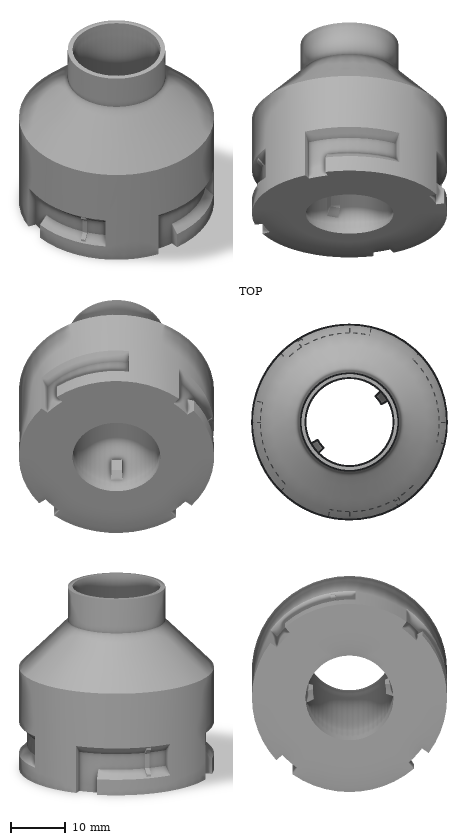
import cadquery as cq
import math

body_radius = 18.0
body_height = 19.5
neck_radius = 9.0
bore_radius = 8.1
total_height = 35.0
cone_height = body_radius - neck_radius
neck_base = body_height + cone_height

slot_count = 4
slot_pitch = 360 / slot_count
slot_depth = 1.5
slot_floor_radius = body_radius - slot_depth
slot_bottom = 3.0
slot_top = 9.0
entry_start = -12.8
slot_end = 45.0

rib_angle = 31.3
rib_width = 0.85
rib_height = 0.3
rib_outer_radius = 17.75

tab_angle = 37.0
tab_sweep = 16.0
tab_tip_radius = 6.75

wall_overlap = 0.35
cut_margin = 1.8


def revolve_profile(points, start=0.0, sweep=360.0):
    """Revolve (radius, z) points about Z, from the start angle in degrees."""
    solid = cq.Workplane("XZ").polyline(points).close().revolve(sweep, (0, 0, 0), (0, -1, 0))
    return solid.rotate((0, 0, 0), (0, 0, 1), start + sweep)


def radial_plate(points, width, angle):
    """Extrude (radius, z) points to a plate centred on a radial plane."""
    plate = cq.Workplane("XZ").polyline(points).close().extrude(width / 2, both=True)
    return plate.rotate((0, 0, 0), (0, 0, 1), angle)


def make_body():
    return revolve_profile([
        (bore_radius, 0),
        (body_radius, 0),
        (body_radius, body_height),
        (neck_radius, neck_base),
        (neck_radius, total_height),
        (bore_radius, total_height),
    ])


def make_slot():
    outer = body_radius + cut_margin
    channel_points = [
        (slot_floor_radius, slot_bottom + slot_depth),
        (outer, slot_bottom - cut_margin),
        (outer, slot_top + cut_margin),
        (slot_floor_radius, slot_top - slot_depth),
    ]
    entry_points = [
        (slot_floor_radius, -cut_margin),
        (outer, -cut_margin),
        (outer, slot_top + cut_margin),
        (slot_floor_radius, slot_top - slot_depth),
    ]
    channel = revolve_profile(channel_points, entry_start / 2, slot_end - entry_start / 2)
    entry = revolve_profile(entry_points, entry_start, -entry_start)
    return channel.union(entry)


def make_detent_rib(angle):
    flank_reach = rib_outer_radius - slot_floor_radius
    flank_offset = rib_height * math.sqrt(2)
    crest_radius = slot_floor_radius + rib_height
    crest_inset = flank_offset - rib_height
    low = slot_bottom + slot_depth
    high = slot_top - slot_depth
    back = slot_floor_radius - wall_overlap
    band = [
        (back, low - flank_reach),
        (rib_outer_radius, low - flank_reach),
        (rib_outer_radius, low - flank_reach + flank_offset),
        (crest_radius, low + crest_inset),
        (crest_radius, high - crest_inset),
        (rib_outer_radius, high + flank_reach - flank_offset),
        (rib_outer_radius, high + flank_reach),
        (back, high + flank_reach),
    ]
    return radial_plate(band, rib_width, angle)


def make_tab(angle):
    root_radius = bore_radius + wall_overlap
    taper = root_radius - tab_tip_radius
    low = slot_bottom + slot_depth
    high = slot_top - slot_depth
    section = [
        (tab_tip_radius, low),
        (root_radius, low - taper),
        (root_radius, high + taper),
        (tab_tip_radius, high),
    ]
    return revolve_profile(section, angle - tab_sweep / 2, tab_sweep)


result = make_body()
slot = make_slot()
for index in range(slot_count):
    result = result.cut(slot.rotate((0, 0, 0), (0, 0, 1), index * slot_pitch))

for index in range(0, slot_count, 2):
    result = result.union(make_tab(tab_angle + index * slot_pitch))
    result = result.union(make_detent_rib(rib_angle + (index + 1) * slot_pitch))